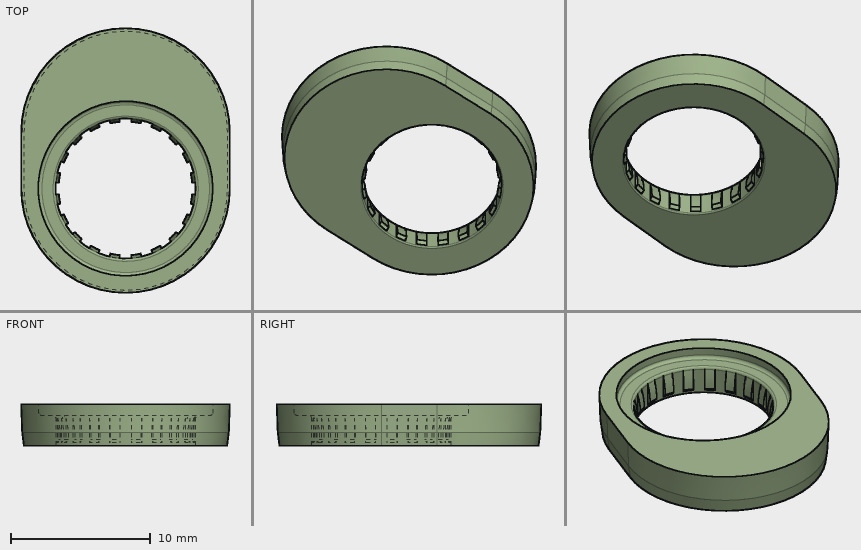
import cadquery as cq
import math

height = 3.0
break_height = 1.0
center_distance = 4.0
top_radius = 7.475
break_radius = 7.405
bottom_radius = 7.275

recess_radius = 12.5 / 2
bore_radius = 5.0
corner_fillet = 0.25
mouth_fillet = 0.2
bottom_fillet = 0.1
recess_floor = 2.2

tooth_count = 20
tooth_pitch = 360 / tooth_count
tooth_angle = 8.5
tooth_projection = 0.22
tooth_mid_drop = tooth_projection / 4
tooth_root_overlap = 0.1
tooth_top = recess_floor - mouth_fillet
tooth_crest = 0.5
tooth_bottom = 0.25


def body_section(level, upper_radius, lower_radius, depth):
    """Slot prism hanging down from a level, narrowing to the lower radius."""
    taper = math.degrees(math.atan2(upper_radius - lower_radius, depth))
    return (
        cq.Workplane("XY", origin=(0, center_distance / 2, level))
        .slot2D(center_distance + 2 * upper_radius, 2 * upper_radius, 90)
        .extrude(-depth, taper=taper)
    )


def bore_cutter():
    """Revolved bore, from the rounded bottom lip up over the mouth and ledge to the recess."""
    arc_middle = math.sqrt(0.5)
    mouth_radius = bore_radius + mouth_fillet
    mouth_offset = mouth_fillet * arc_middle
    bottom_lip_radius = bore_radius + bottom_fillet
    bottom_offset = bottom_fillet * arc_middle
    corner_radius = recess_radius - corner_fillet
    corner_level = recess_floor + corner_fillet
    corner_offset = corner_fillet * arc_middle
    return (
        cq.Workplane("XZ")
        .lineTo(bottom_lip_radius, 0)
        .threePointArc((bottom_lip_radius - bottom_offset, bottom_fillet - bottom_offset),
                       (bore_radius, bottom_fillet))
        .lineTo(bore_radius, tooth_top)
        .threePointArc((mouth_radius - mouth_offset, tooth_top + mouth_offset),
                       (mouth_radius, recess_floor))
        .lineTo(corner_radius, recess_floor)
        .threePointArc((corner_radius + corner_offset, corner_level - corner_offset),
                       (recess_radius, corner_level))
        .lineTo(recess_radius, height)
        .lineTo(0, height)
        .close()
        .revolve(360, (0, 0, 0), (0, 1, 0))
    )


def snap_tooth():
    """Tooth swelling in an arc from the bore wall down to its crest, then bevelled back."""
    root_radius = bore_radius + tooth_root_overlap
    crest_radius = bore_radius - tooth_projection
    middle_level = (tooth_crest + tooth_top) / 2
    return (
        cq.Workplane("XZ")
        .moveTo(root_radius, tooth_bottom)
        .lineTo(bore_radius, tooth_bottom)
        .lineTo(crest_radius, tooth_crest)
        .threePointArc((crest_radius + tooth_mid_drop, middle_level), (bore_radius, tooth_top))
        .lineTo(root_radius, tooth_top)
        .close()
        .revolve(tooth_angle, (0, 0, 0), (0, 1, 0))
    )


upper_body = body_section(height, top_radius, break_radius, height - break_height)
lower_body = body_section(break_height, break_radius, bottom_radius, break_height)
result = upper_body.union(lower_body).cut(bore_cutter())

tooth = snap_tooth()
for index in range(tooth_count):
    start_angle = (index + 0.5) * tooth_pitch - tooth_angle / 2
    result = result.union(tooth.rotate((0, 0, 0), (0, 0, 1), start_angle))